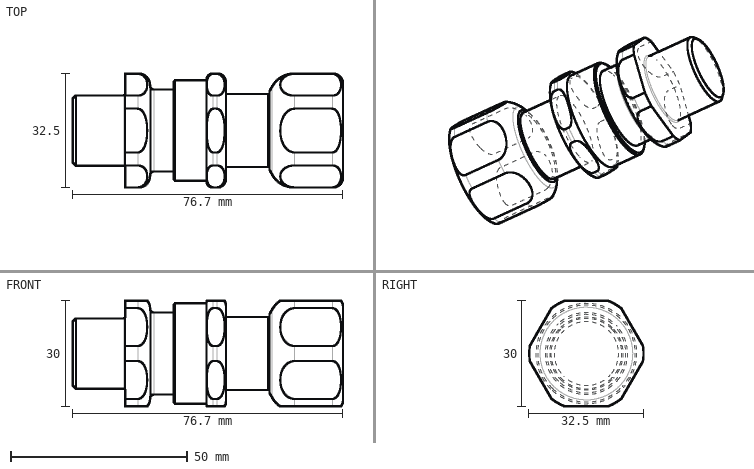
import cadquery as cq
import math

TOTAL_LENGTH = 76.7

ACROSS_FLATS = 30.0
CORNER_RADIUS = 32.45 / 2

THREAD_RADIUS = 20.0 / 2
TIP_CHAMFER = 0.9
THREAD_FILLET = 0.4
ENTRY_HEX_START = 14.9
ENTRY_HEX_END = 22.0
ENTRY_HEX_ROUND = 3.5
SPIGOT_RADIUS = 23.3 / 2
SPIGOT_FILLET = 1.0

COLLAR_START = 28.6
COLLAR_RADIUS = 28.5 / 2
COLLAR_CHAMFER = 0.45

LOCK_NUT_START = 37.9
LOCK_NUT_END = 43.5
LOCK_NUT_FRONT_ROUND = CORNER_RADIUS - COLLAR_RADIUS
LOCK_NUT_REAR_ROUND = 2.6

NECK_RADIUS = 20.8 / 2
NECK_END = 55.75
NECK_CHAMFER = 0.4

CAP_DOME_END = 62.9
CAP_DOME_ROUND = 7.3
CAP_CONE_ANGLE = 60.0
CAP_REAR_ROUND = 3.1


def cylinder(start, end, radius):
    return cq.Workplane("YZ", origin=(start, 0, 0)).circle(radius).extrude(end - start)


def hexagon(start, end):
    """Hexagonal bar along X with flats facing +Z and -Z."""
    across_corners = ACROSS_FLATS / math.cos(math.pi / 6)
    return cq.Workplane("YZ", origin=(start, 0, 0)).polygon(6, across_corners).extrude(end - start)


def revolve_about_x(profile):
    return profile.close().revolve(360, (0, 0, 0), (1, 0, 0))


def arc_through(profile, center, radius, start_angle, end_angle):
    """Add an arc that continues the profile, given its center and angles in degrees."""
    def point(angle):
        turn = math.radians(angle)
        return (center[0] + radius * math.cos(turn), center[1] + radius * math.sin(turn))

    return profile.threePointArc(point((start_angle + end_angle) / 2), point(end_angle))


def make_entry_body():
    thread = cylinder(0, ENTRY_HEX_START, THREAD_RADIUS).faces("<X").chamfer(TIP_CHAMFER)

    blank = cylinder(ENTRY_HEX_START, ENTRY_HEX_END, CORNER_RADIUS)
    blank = blank.faces(">X").edges().fillet(ENTRY_HEX_ROUND)
    hex_part = hexagon(ENTRY_HEX_START, ENTRY_HEX_END).intersect(blank)

    spigot = cylinder(ENTRY_HEX_END, COLLAR_START, SPIGOT_RADIUS)

    thread_root = cq.Workplane("XY").moveTo(ENTRY_HEX_START - THREAD_FILLET, 0)
    thread_root = thread_root.lineTo(ENTRY_HEX_START - THREAD_FILLET, THREAD_RADIUS)
    thread_center = (ENTRY_HEX_START - THREAD_FILLET, THREAD_RADIUS + THREAD_FILLET)
    thread_root = arc_through(thread_root, thread_center, THREAD_FILLET, -90, 0)
    thread_root = revolve_about_x(thread_root.lineTo(ENTRY_HEX_START, 0))

    spigot_root = cq.Workplane("XY").moveTo(ENTRY_HEX_END, 0)
    spigot_root = spigot_root.lineTo(ENTRY_HEX_END, SPIGOT_RADIUS + SPIGOT_FILLET)
    spigot_center = (ENTRY_HEX_END + SPIGOT_FILLET, SPIGOT_RADIUS + SPIGOT_FILLET)
    spigot_root = arc_through(spigot_root, spigot_center, SPIGOT_FILLET, 180, 270)
    spigot_root = revolve_about_x(spigot_root.lineTo(ENTRY_HEX_END + SPIGOT_FILLET, 0))

    return thread.union(thread_root).union(hex_part).union(spigot_root).union(spigot)


def make_collar():
    return cylinder(COLLAR_START, LOCK_NUT_START, COLLAR_RADIUS).faces("<X").chamfer(COLLAR_CHAMFER)


def make_lock_nut():
    blank = cylinder(LOCK_NUT_START, LOCK_NUT_END, CORNER_RADIUS)
    blank = blank.faces("<X").edges().fillet(LOCK_NUT_FRONT_ROUND)
    blank = blank.faces(">X").edges().fillet(LOCK_NUT_REAR_ROUND)
    return hexagon(LOCK_NUT_START, LOCK_NUT_END).intersect(blank)


def make_neck():
    return cylinder(LOCK_NUT_END, NECK_END, NECK_RADIUS).faces(">X").chamfer(NECK_CHAMFER)


def make_cap_nut():
    cone = math.radians(CAP_CONE_ANGLE)
    dome_center = (CAP_DOME_END, CORNER_RADIUS - CAP_DOME_ROUND)
    cone_end = dome_center[0] - CAP_DOME_ROUND * math.sin(cone)
    cone_end_radius = dome_center[1] + CAP_DOME_ROUND * math.cos(cone)
    face_radius = cone_end_radius - (cone_end - NECK_END) * math.tan(cone)
    rear_center = (TOTAL_LENGTH - CAP_REAR_ROUND, CORNER_RADIUS - CAP_REAR_ROUND)

    profile = cq.Workplane("XY").moveTo(NECK_END, 0).lineTo(NECK_END, face_radius)
    profile = profile.lineTo(cone_end, cone_end_radius)
    profile = arc_through(profile, dome_center, CAP_DOME_ROUND, 90 + CAP_CONE_ANGLE, 90)
    profile = profile.lineTo(rear_center[0], CORNER_RADIUS)
    profile = arc_through(profile, rear_center, CAP_REAR_ROUND, 90, 0)
    blank = revolve_about_x(profile.lineTo(TOTAL_LENGTH, 0))
    return hexagon(NECK_END, TOTAL_LENGTH).intersect(blank)


entry_body = make_entry_body()
collar = make_collar()
lock_nut = make_lock_nut()
neck = make_neck()
cap_nut = make_cap_nut()

result = cq.Compound.makeCompound([
    entry_body.val(),
    collar.val(),
    lock_nut.val(),
    neck.val(),
    cap_nut.val(),
])